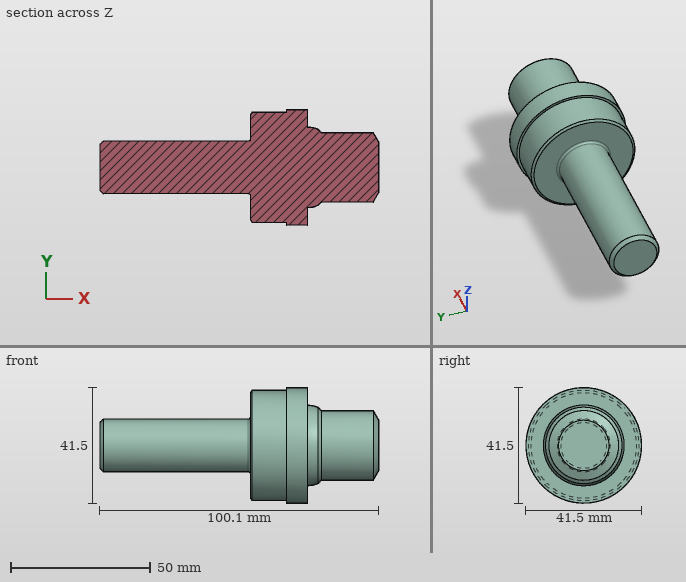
import cadquery as cq
import math

total_length = 100.1
collar_start = 54.0
flange_start = 67.0
flange_end = 74.6
spigot_start = 79.5
start_x = -total_length / 2

shaft_radius = 9.5
collar_radius = 19.8
flange_radius = 41.5 / 2
neck_radius = 14.5
spigot_radius = 12.5

shaft_chamfer = 1.3
shaft_fillet = 0.8
collar_chamfer_length = 0.6
collar_chamfer_depth = 0.9
neck_arc_length = 3.7
neck_arc_radius = 9.0
lead_in_length = 2.0
lead_in_angle = 60.0

neck_arc_angle = math.asin(neck_arc_length / neck_arc_radius)


def neck_point(angle):
    """Point on the crowned neck, starting parallel to the axis at the flange."""
    x = flange_end + neck_arc_radius * math.sin(angle)
    radius = neck_radius - neck_arc_radius * (1 - math.cos(angle))
    return (x, radius)


fillet_start = collar_start - shaft_fillet
fillet_middle = (
    fillet_start + shaft_fillet * math.sin(math.pi / 4),
    shaft_radius + shaft_fillet * (1 - math.cos(math.pi / 4)),
)
tip_radius = spigot_radius - lead_in_length * math.tan(math.radians(lead_in_angle))

profile = (
    cq.Workplane("XY", origin=(start_x, 0, 0))
    .moveTo(0, 0)
    .lineTo(0, shaft_radius - shaft_chamfer)
    .lineTo(shaft_chamfer, shaft_radius)
    .lineTo(fillet_start, shaft_radius)
    .threePointArc(fillet_middle, (collar_start, shaft_radius + shaft_fillet))
    .lineTo(collar_start, collar_radius - collar_chamfer_depth)
    .lineTo(collar_start + collar_chamfer_length, collar_radius)
    .lineTo(flange_start, collar_radius)
    .lineTo(flange_start, flange_radius)
    .lineTo(flange_end, flange_radius)
    .lineTo(flange_end, neck_radius)
    .threePointArc(neck_point(neck_arc_angle / 2), neck_point(neck_arc_angle))
    .lineTo(spigot_start, spigot_radius)
    .lineTo(total_length - lead_in_length, spigot_radius)
    .lineTo(total_length, tip_radius)
    .lineTo(total_length, 0)
    .close()
)

result = profile.revolve(360, (0, 0, 0), (1, 0, 0))